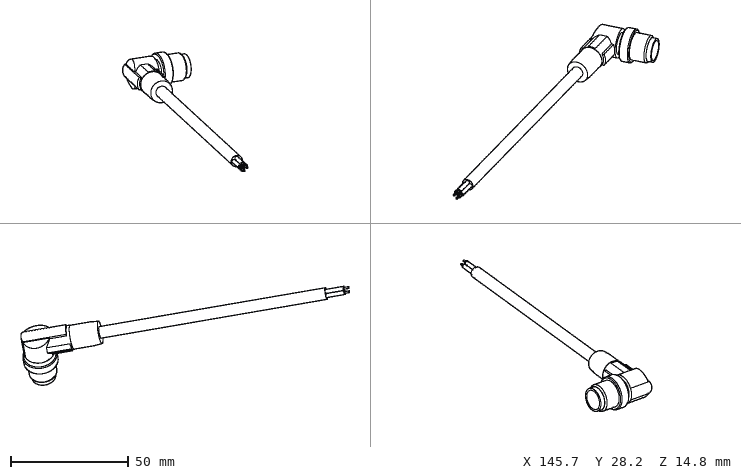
import cadquery as cq
import math

PLUG_LEAN = 7.6

ELBOW_RADIUS = 6.45
ELBOW_TOP = 5.65
NECK_RADIUS = 4.8
NUT_RADIUS = 7.4
NUT_START = 7.5
NUT_END = 12.0
NUT_CHAMFER = 0.45
THREAD_RADIUS = 6.0
THREAD_END = 19.3
THREAD_CHAMFER = 0.7
TIP_RADIUS = 5.2
TIP_END = 21.39
TIP_BORE_RADIUS = 4.3
TIP_BORE_FLOOR = 12.0

ELBOW_RIDGE_DEPTH = 5.75
ELBOW_END_SLOPE = 15.0

SLEEVE_RADIUS = 5.2
SLEEVE_SHOULDER_RADIUS = 5.3
SLEEVE_SHOULDER_END = 15.2
SLEEVE_TAPER_START = 24.0
SLEEVE_END = 27.5
SLEEVE_END_RADIUS = 4.9
SLEEVE_FLAT_HEIGHT = 5.03
SLEEVE_FLAT_END = 14.6

RIB_HALF_WIDTH = 2.8
RIB_CREST_HALF_WIDTH = 0.6
RIB_SHOULDER_RADIUS = 5.2
RIB_HEIGHT = 6.27
RIB_END = 13.9
BACK_RIB_HEIGHT = 6.6

CABLE_RADIUS = 2.55
CABLE_END = 126.9
WIRE_RADIUS = 0.87
WIRE_OFFSET = 1.27
WIRE_END = 134.8
CONDUCTOR_RADIUS = 0.4
CONDUCTOR_END = 136.8
WIRE_COUNT = 4

REACH = 40.0


def rod(radius, start, end, y=0.0, z=0.0):
    """Cylinder parallel to X."""
    return cq.Workplane("YZ", origin=(start, y, z)).circle(radius).extrude(end - start)


def lean(upright):
    """Tilt a body built along Y onto the plug axis."""
    return upright.rotate((0, 0, 0), (0, 0, 1), PLUG_LEAN)


def shoulder_drop(half_width):
    """How far the rounded rib shoulder has fallen below the crest at this half width."""
    crest_rise = math.sqrt(RIB_SHOULDER_RADIUS**2 - RIB_CREST_HALF_WIDTH**2)
    return crest_rise - math.sqrt(RIB_SHOULDER_RADIUS**2 - half_width**2)


def rib_section(plane, height):
    """Rib outline with its crest at -height on the first axis and its root at 0."""
    mid_width = (RIB_HALF_WIDTH + RIB_CREST_HALF_WIDTH) / 2
    edge = shoulder_drop(RIB_HALF_WIDTH) - height
    middle = shoulder_drop(mid_width) - height
    return (
        plane.moveTo(0, -RIB_HALF_WIDTH)
        .lineTo(edge, -RIB_HALF_WIDTH)
        .threePointArc((middle, -mid_width), (-height, -RIB_CREST_HALF_WIDTH))
        .lineTo(-height, RIB_CREST_HALF_WIDTH)
        .threePointArc((middle, mid_width), (edge, RIB_HALF_WIDTH))
        .lineTo(0, RIB_HALF_WIDTH)
        .close()
    )


def make_plug_front():
    """Neck, nut, threaded barrel and bored tip as one turned body."""
    profile = [
        (0, 0),
        (NECK_RADIUS, 0),
        (NECK_RADIUS, NUT_START),
        (NUT_RADIUS - NUT_CHAMFER, NUT_START),
        (NUT_RADIUS, NUT_START + NUT_CHAMFER),
        (NUT_RADIUS, NUT_END - NUT_CHAMFER),
        (NUT_RADIUS - NUT_CHAMFER, NUT_END),
        (THREAD_RADIUS, NUT_END),
        (THREAD_RADIUS, THREAD_END - THREAD_CHAMFER),
        (THREAD_RADIUS - THREAD_CHAMFER, THREAD_END),
        (TIP_RADIUS, THREAD_END),
        (TIP_RADIUS, TIP_END),
        (TIP_BORE_RADIUS, TIP_END),
        (TIP_BORE_RADIUS, TIP_BORE_FLOOR),
        (0, TIP_BORE_FLOOR),
    ]
    return lean(cq.Workplane("XY").polyline(profile).close().revolve(360, (0, 0), (0, 1)))


def make_elbow():
    """Leaning cylinder closed by two sloped faces that meet at Z = 0."""
    barrel = cq.Workplane("XZ", origin=(0, -REACH, 0)).circle(ELBOW_RADIUS).extrude(-REACH - ELBOW_TOP)
    rise = REACH * math.tan(math.radians(ELBOW_END_SLOPE))
    roof = (
        cq.Workplane("YZ", origin=(-REACH, 0, 0))
        .polyline([(-ELBOW_RIDGE_DEPTH, 0), (rise - ELBOW_RIDGE_DEPTH, REACH),
                   (REACH, REACH), (REACH, -REACH), (rise - ELBOW_RIDGE_DEPTH, -REACH)])
        .close()
        .extrude(2 * REACH)
    )
    return lean(barrel).intersect(roof)


def make_corner_rib():
    """Rib down the back of the elbow, mitred into the rib along the underside."""
    back_plane = cq.Workplane("XZ", origin=(0, -REACH, 0))
    back = lean(rib_section(back_plane, BACK_RIB_HEIGHT).extrude(-REACH - ELBOW_TOP))
    under = rib_section(cq.Workplane("YZ", origin=(-REACH, 0, 0)), RIB_HEIGHT).extrude(REACH + RIB_END)

    inner_size = (REACH, REACH, 2 * RIB_HALF_WIDTH)
    above_under = under.union(cq.Workplane("XY").box(*inner_size).translate((0, REACH / 2, 0)))
    ahead_of_back = lean(
        rib_section(back_plane, BACK_RIB_HEIGHT).extrude(-2 * REACH)
        .union(cq.Workplane("XY").box(*inner_size).translate((REACH / 2, 0, 0)))
    )
    return back.intersect(above_under).union(under.intersect(ahead_of_back))


def make_inner_rib():
    """Rib on the +Y side of the sleeve, starting inside the elbow."""
    section = rib_section(cq.Workplane("YZ"), RIB_HEIGHT)
    return section.extrude(RIB_END).mirror("XZ")


def make_sleeve():
    """Cable sleeve with a tapered end and a flat on the +Z and -Z sides."""
    sleeve = (
        cq.Workplane("XY")
        .polyline([(0, 0), (0, SLEEVE_SHOULDER_RADIUS),
                   (SLEEVE_SHOULDER_END, SLEEVE_SHOULDER_RADIUS), (SLEEVE_SHOULDER_END, SLEEVE_RADIUS),
                   (SLEEVE_TAPER_START, SLEEVE_RADIUS),
                   (SLEEVE_END, SLEEVE_END_RADIUS), (SLEEVE_END, 0)])
        .close()
        .revolve(360, (0, 0), (1, 0))
    )
    for side in (1, -1):
        shaving = cq.Workplane("XY").box(2 * SLEEVE_FLAT_END, REACH, REACH)
        sleeve = sleeve.cut(shaving.translate((0, 0, side * (SLEEVE_FLAT_HEIGHT + REACH / 2))))
    return sleeve


def make_cable():
    """Cable jacket with its stripped wires."""
    cable = rod(CABLE_RADIUS, 0, CABLE_END)
    for index in range(WIRE_COUNT):
        angle = 2 * math.pi * index / WIRE_COUNT
        y = WIRE_OFFSET * math.cos(angle)
        z = WIRE_OFFSET * math.sin(angle)
        cable = cable.union(rod(WIRE_RADIUS, CABLE_END, WIRE_END, y, z))
        cable = cable.union(rod(CONDUCTOR_RADIUS, WIRE_END, CONDUCTOR_END, y, z))
    return cable


result = (
    make_elbow()
    .union(make_plug_front())
    .union(make_sleeve())
    .union(make_corner_rib())
    .union(make_inner_rib())
    .union(make_cable())
)